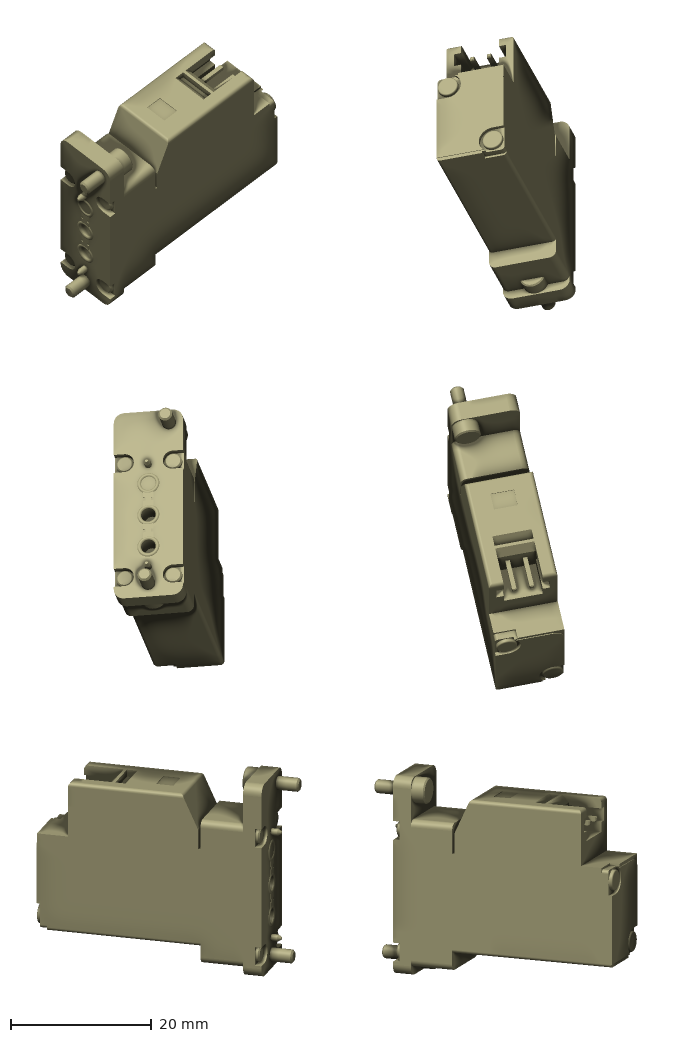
import cadquery as cq


OVERLAP = 0.2
FULL_TURN = 360.0
HALF_TURN = 180.0

WIDTH = 10.0
HALF_WIDTH = WIDTH / 2
FLANGE_HEIGHT = 29.0
FLANGE_THICKNESS = 2.75
FLANGE_CORNER_RADIUS = 1.5

NECK_BACK = 9.07
NECK_TOP = 8.4
NECK_BOTTOM = -13.15
NECK_EDGE_RADIUS = 1.0

STEP_LEVEL = 4.05
HOUSING_BOTTOM = -10.5
HOUSING_BACK = 33.4
HOUSING_EDGE_RADIUS = 0.5
TOWER_FRONT = 9.43
TOWER_BACK = 28.8
TOWER_TOP = 12.15
SLOPE_FOOT_LEVEL = 7.1
SLOPE_HEAD_Y = 11.8
TOWER_EDGE_RADIUS = 0.55

PLATE_THICKNESS = 0.1
PLATE_TOP = 3.55
PLATE_BOTTOM = -10.0
PLATE_CORNER_RADIUS = 1.75
PART_BACK = HOUSING_BACK + PLATE_THICKNESS

SCREW_POSITIONS = [(3.0, 12.45), (0.0, -12.45)]
SCREW_DIAMETER = 2.0
SCREW_PROTRUSION = 3.3
SCREW_TIP_CHAMFER = 0.25
SCREW_HEAD_DIAMETER = 3.8
SCREW_HEAD_HEIGHT = 2.0
SCREW_HEAD_CHAMFER = 0.2

CONTACT_LEVELS = [6.1, -9.88]
CONTACT_DIAMETER = 1.0
CONTACT_SHANK = 0.95
CONTACT_LENGTH = 1.5
CONTACT_TIP_DIAMETER = 0.4

SIDE_RECESS_X = 3.5
SIDE_RECESS_LEVELS = [6.67, -11.17]
SIDE_RECESS_HEIGHT = 2.8
SIDE_RECESS_DEPTH = 1.0
SCREW_END_DIAMETER = 2.5
SCREW_END_HEIGHT = 0.6
SCREW_END_CHAMFER = 0.22

PORT_PITCH = 4.93
PORT_MIDDLE = -1.7
PORT_LEVELS = [PORT_MIDDLE + PORT_PITCH, PORT_MIDDLE, PORT_MIDDLE - PORT_PITCH]
OPEN_PORT_LEVELS = PORT_LEVELS[1:]
PORT_DEPTH = 3.0
RING_INNER_DIAMETER = 2.1
RING_OUTER_DIAMETER = 3.2
RING_PROTRUSION = 0.12
LINK_WIDTH = 1.5
LINK_PROTRUSION = 0.08
LINK_NOTCH_DEPTH = 0.38
LINK_NOTCH_HEIGHT = 0.5

SOCKET_HALF_WIDTH = 2.84
SOCKET_FRONT = 22.86
SOCKET_SLOPE_FOOT = 23.88
SOCKET_FLOOR = 7.25
SOCKET_AXIS_LEVEL = (TOWER_TOP + SOCKET_FLOOR) / 2
GROOVE_HALF_WIDTH = 3.88
GROOVE_HEIGHT = 2.0
TERMINAL_X = 1.27
TERMINAL_SIZE = 0.64
TERMINAL_LEVEL = 9.52
TERMINAL_TIP_CHAMFER = 0.15
TERMINAL_BACK = 28.72

LATCH_FRONT = 20.86
LATCH_SLOPE_FOOT = 21.9
LATCH_BACK = 22.4
LABEL_WIDTH = 3.45
LABEL_FRONT = 14.1
LABEL_BACK = 16.65
LABEL_DEPTH = 0.1

BACK_SCREW_X = 3.35
BACK_SCREW_INSET = 2.0
BACK_SCREW_DIAMETER = 3.0
BACK_SCREW_EDGE_RADIUS = 0.2
BACK_RECESS_DEPTH = 0.55
NOTCH_INNER_X = 1.8
NOTCH_FRONT = 31.95
NOTCH_DEPTH = 0.3
NOTCH_CUT_HEIGHT = 0.8
NOTCH_EDGE_RADIUS = 0.5
NOTCH_FLAT_START = 2.06


def box(x_range, y_range, z_range):
    """Box between the given limits on each axis."""
    sizes = [high - low for low, high in (x_range, y_range, z_range)]
    corner = (x_range[0], y_range[0], z_range[0])
    return cq.Workplane("XY").box(*sizes, centered=False).translate(corner)


def rod(diameter, x, z, y_start, y_end):
    """Cylinder along Y."""
    plane = cq.Workplane("XZ", origin=(x, y_end, z))
    return plane.circle(diameter / 2).extrude(y_end - y_start)


def side_prism(points, half_width):
    """Prism symmetric about X = 0 from an outline of (Y, Z) points."""
    return cq.Workplane("YZ").polyline(points).close().extrude(half_width, both=True)


def u_recess(x, z, height, y_start, y_end):
    """Round-ended slot that runs from (x, z) out through the nearer side of the part."""
    outer_x = HALF_WIDTH + OVERLAP if x > 0 else -HALF_WIDTH - OVERLAP
    x_range = (min(x, outer_x), max(x, outer_x))
    channel = box(x_range, (y_start, y_end), (z - height / 2, z + height / 2))
    return channel.union(rod(height, x, z, y_start, y_end))


def make_flange():
    flange = box(
        (-HALF_WIDTH, HALF_WIDTH),
        (0, FLANGE_THICKNESS),
        (-FLANGE_HEIGHT / 2, FLANGE_HEIGHT / 2),
    )
    return flange.edges("|Y").fillet(FLANGE_CORNER_RADIUS)


def make_neck():
    neck = box(
        (-HALF_WIDTH, HALF_WIDTH),
        (FLANGE_THICKNESS - OVERLAP, NECK_BACK),
        (NECK_BOTTOM, NECK_TOP),
    )
    return neck.edges("|Y").fillet(NECK_EDGE_RADIUS)


def make_housing():
    body = box(
        (-HALF_WIDTH, HALF_WIDTH),
        (NECK_BACK - OVERLAP, HOUSING_BACK),
        (HOUSING_BOTTOM, STEP_LEVEL),
    )
    body = body.edges("|Y and <Z").fillet(HOUSING_EDGE_RADIUS)
    tower_outline = [
        (TOWER_FRONT, STEP_LEVEL - OVERLAP),
        (TOWER_FRONT, SLOPE_FOOT_LEVEL),
        (SLOPE_HEAD_Y, TOWER_TOP),
        (TOWER_BACK, TOWER_TOP),
        (TOWER_BACK, STEP_LEVEL - OVERLAP),
    ]
    tower = side_prism(tower_outline, HALF_WIDTH)
    tower = tower.faces(">Z").edges().fillet(TOWER_EDGE_RADIUS)
    return body.union(tower)


def make_back_plate():
    plate = box(
        (-HALF_WIDTH, HALF_WIDTH),
        (HOUSING_BACK - OVERLAP, PART_BACK),
        (PLATE_BOTTOM, PLATE_TOP),
    )
    return plate.edges("|Y and <X and >Z").fillet(PLATE_CORNER_RADIUS)


def lead_in_slot(front, slope_foot, back):
    """Slot in the tower top with a front wall sloped at 45 degrees and a flat floor at its foot."""
    top = TOWER_TOP + OVERLAP
    outline = [
        (front, top),
        (front, TOWER_TOP),
        (slope_foot, TOWER_TOP - (slope_foot - front)),
        (back, TOWER_TOP - (slope_foot - front)),
        (back, top),
    ]
    return side_prism(outline, SOCKET_HALF_WIDTH)


def make_socket():
    """Space to remove for the socket, widened at mid-height by the side grooves."""
    back = TOWER_BACK + OVERLAP
    mouth = lead_in_slot(SOCKET_FRONT, SOCKET_SLOPE_FOOT, back)
    chamber = box(
        (-SOCKET_HALF_WIDTH, SOCKET_HALF_WIDTH),
        (SOCKET_SLOPE_FOOT, back),
        (SOCKET_FLOOR, TOWER_TOP),
    )
    grooves = box(
        (-GROOVE_HALF_WIDTH, GROOVE_HALF_WIDTH),
        (SOCKET_SLOPE_FOOT, back),
        (SOCKET_AXIS_LEVEL - GROOVE_HEIGHT / 2, SOCKET_AXIS_LEVEL + GROOVE_HEIGHT / 2),
    )
    return mouth.union(chamber).union(grooves)


def make_terminal(x):
    """Square terminal that reaches back from the front wall of the socket."""
    half_size = TERMINAL_SIZE / 2
    terminal = box(
        (x - half_size, x + half_size),
        (SOCKET_SLOPE_FOOT - OVERLAP, TERMINAL_BACK),
        (TERMINAL_LEVEL - half_size, TERMINAL_LEVEL + half_size),
    )
    return terminal.faces(">Y").edges().chamfer(TERMINAL_TIP_CHAMFER)


def make_latch_slot():
    return lead_in_slot(LATCH_FRONT, LATCH_SLOPE_FOOT, LATCH_BACK)


def make_label_recess():
    return box(
        (-LABEL_WIDTH / 2, LABEL_WIDTH / 2),
        (LABEL_FRONT, LABEL_BACK),
        (TOWER_TOP - LABEL_DEPTH, TOWER_TOP + OVERLAP),
    )


def make_mounting_screw(x, z):
    shank = rod(SCREW_DIAMETER, x, z, -SCREW_PROTRUSION, FLANGE_THICKNESS)
    shank = shank.faces("<Y").chamfer(SCREW_TIP_CHAMFER)
    head_back = FLANGE_THICKNESS + SCREW_HEAD_HEIGHT
    head = rod(SCREW_HEAD_DIAMETER, x, z, FLANGE_THICKNESS - OVERLAP, head_back)
    return shank.union(head.faces(">Y").chamfer(SCREW_HEAD_CHAMFER))


def make_contact(z):
    """Round contact pin with a conical tip."""
    outline = [
        (0, OVERLAP),
        (CONTACT_DIAMETER / 2, OVERLAP),
        (CONTACT_DIAMETER / 2, -CONTACT_SHANK),
        (CONTACT_TIP_DIAMETER / 2, -CONTACT_LENGTH),
        (0, -CONTACT_LENGTH),
    ]
    pin = cq.Workplane("XY").polyline(outline).close().revolve(FULL_TURN, (0, 0, 0), (0, 1, 0))
    return pin.translate((0, 0, z))


def make_screw_end(x, z):
    screw_end_front = SIDE_RECESS_DEPTH - SCREW_END_HEIGHT
    screw_end = rod(SCREW_END_DIAMETER, x, z, screw_end_front, SIDE_RECESS_DEPTH + OVERLAP)
    return screw_end.faces("<Y").chamfer(SCREW_END_CHAMFER)


def make_ring(z):
    """Seal ring with a domed front, sunk into the mounting face."""
    inner = RING_INNER_DIAMETER / 2
    outer = RING_OUTER_DIAMETER / 2
    profile = (
        cq.Workplane("XY")
        .moveTo(inner, OVERLAP)
        .lineTo(inner, 0)
        .threePointArc(((inner + outer) / 2, -RING_PROTRUSION), (outer, 0))
        .lineTo(outer, OVERLAP)
        .close()
    )
    return profile.revolve(FULL_TURN, (0, 0, 0), (0, 1, 0)).translate((0, 0, z))


def make_link(z_middle):
    """Link between two rings, notched on both sides at mid-length."""
    y_range = (-LINK_PROTRUSION, OVERLAP)
    half_length = (PORT_PITCH - RING_INNER_DIAMETER) / 2 - OVERLAP
    half_width = LINK_WIDTH / 2
    link = box((-half_width, half_width), y_range, (z_middle - half_length, z_middle + half_length))
    notch_range = (z_middle - LINK_NOTCH_HEIGHT / 2, z_middle + LINK_NOTCH_HEIGHT / 2)
    neck = half_width - LINK_NOTCH_DEPTH
    for x_range in [(-half_width, -neck), (neck, half_width)]:
        link = link.cut(box(x_range, (-LINK_PROTRUSION, 0), notch_range))
    return link


def half_turn(body):
    """Turn a body by 180 degrees about the long axis of the housing."""
    middle = (STEP_LEVEL + HOUSING_BOTTOM) / 2
    return body.rotate((0, 0, middle), (0, 1, middle), HALF_TURN)


def make_back_notch():
    """Space of the top right corner notch; its floor rolls off at both side edges."""
    notch = box(
        (NOTCH_INNER_X, HALF_WIDTH + OVERLAP),
        (NOTCH_FRONT, PART_BACK + OVERLAP),
        (STEP_LEVEL - NOTCH_CUT_HEIGHT, STEP_LEVEL + OVERLAP),
    )
    floor = box(
        (NOTCH_FLAT_START - NOTCH_EDGE_RADIUS, HALF_WIDTH),
        (NOTCH_FRONT, PART_BACK + OVERLAP),
        (HOUSING_BOTTOM, STEP_LEVEL - NOTCH_DEPTH),
    )
    return notch.cut(floor.edges("|Y and >Z").fillet(NOTCH_EDGE_RADIUS))


def make_back_recess():
    return u_recess(
        BACK_SCREW_X,
        STEP_LEVEL - BACK_SCREW_INSET,
        2 * BACK_SCREW_INSET,
        PART_BACK - BACK_RECESS_DEPTH,
        PART_BACK + OVERLAP,
    )


def make_back_screw():
    screw_front = PART_BACK - BACK_RECESS_DEPTH - OVERLAP
    screw_level = STEP_LEVEL - BACK_SCREW_INSET
    screw = rod(BACK_SCREW_DIAMETER, BACK_SCREW_X, screw_level, screw_front, PART_BACK)
    return screw.faces(">Y").edges().fillet(BACK_SCREW_EDGE_RADIUS)


result = make_flange().union(make_neck()).union(make_housing()).union(make_back_plate())

result = result.cut(make_socket()).cut(make_latch_slot()).cut(make_label_recess())
for terminal_x in [-TERMINAL_X, TERMINAL_X]:
    result = result.union(make_terminal(terminal_x))

back_space = make_back_notch().union(make_back_recess())
back_screw = make_back_screw()
result = result.cut(back_space).cut(half_turn(back_space))
result = result.union(back_screw).union(half_turn(back_screw))

for recess_x in [-SIDE_RECESS_X, SIDE_RECESS_X]:
    for recess_z in SIDE_RECESS_LEVELS:
        recess = u_recess(recess_x, recess_z, SIDE_RECESS_HEIGHT, -OVERLAP, SIDE_RECESS_DEPTH)
        result = result.cut(recess).union(make_screw_end(recess_x, recess_z))
for screw_x, screw_z in SCREW_POSITIONS:
    result = result.union(make_mounting_screw(screw_x, screw_z))
for contact_z in CONTACT_LEVELS:
    result = result.union(make_contact(contact_z))
for upper_port in PORT_LEVELS[:-1]:
    result = result.union(make_link(upper_port - PORT_PITCH / 2))
for port_z in PORT_LEVELS:
    result = result.union(make_ring(port_z))
for port_z in OPEN_PORT_LEVELS:
    result = result.cut(rod(RING_INNER_DIAMETER, 0, port_z, -OVERLAP, PORT_DEPTH))